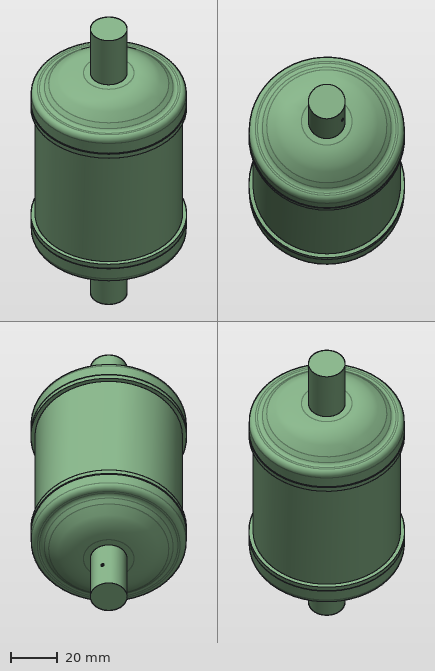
import cadquery as cq
import math

total_length = 149.0
pipe_radius = 15.8 / 2
body_radius = 63.5 / 2
cap_radius = 66.8 / 2
rim_radius = 67.0 / 2

rim_bottom = 30.0
rim_top = 32.2
step_height = 0.5
shoulder_height = 40.8
dome_height = 49.6

shoulder_fillet = 2.7
neck_fillet = 3.0
neck_outer_radius = 29.8
dome_flat_radius = 10.9
dome_arc_radius = 21.2
dome_slope = math.radians(45)

pin_hole_diameter = 1.3
pin_hole_depth = 0.3


def arc_point(center, radius, angle):
    """Point on an arc in the radius-height plane."""
    return (center[0] + radius * math.cos(angle), center[1] + radius * math.sin(angle))


def make_upper_end():
    """Upper end cap and its pipe, turned about Z."""
    quarter = math.pi / 2
    shoulder_center = (cap_radius - shoulder_fillet, shoulder_height - shoulder_fillet)
    neck_center = (neck_outer_radius, shoulder_height + neck_fillet)
    dome_center = (dome_flat_radius, dome_height - dome_arc_radius)

    profile = (
        cq.Workplane("XZ")
        .moveTo(0, rim_bottom)
        .lineTo(rim_radius, rim_bottom)
        .lineTo(rim_radius, rim_top)
        .lineTo(cap_radius, rim_top + step_height)
        .lineTo(cap_radius, shoulder_center[1])
        .threePointArc(
            arc_point(shoulder_center, shoulder_fillet, quarter / 2),
            arc_point(shoulder_center, shoulder_fillet, quarter),
        )
        .lineTo(neck_outer_radius, shoulder_height)
        .threePointArc(
            arc_point(neck_center, neck_fillet, -quarter - dome_slope / 2),
            arc_point(neck_center, neck_fillet, -quarter - dome_slope),
        )
        .lineTo(*arc_point(dome_center, dome_arc_radius, quarter - dome_slope))
        .threePointArc(
            arc_point(dome_center, dome_arc_radius, quarter - dome_slope / 2),
            (dome_flat_radius, dome_height),
        )
        .lineTo(pipe_radius, dome_height)
        .lineTo(pipe_radius, total_length / 2)
        .lineTo(0, total_length / 2)
        .close()
    )
    return profile.revolve(360, (0, 0, 0), (0, 1, 0))


def make_pin_hole(height):
    """Cutter for a shallow hole running in from the -X side of a pipe."""
    return (
        cq.Workplane("YZ", origin=(-pipe_radius, 0, height))
        .circle(pin_hole_diameter / 2)
        .extrude(pin_hole_depth, both=True)
    )


body = cq.Workplane("XY").circle(body_radius).extrude(rim_bottom, both=True).clean()
upper_end = make_upper_end()
result = body.union(upper_end).union(upper_end.mirror("XY"))

pin_hole_height = (dome_height + total_length / 2) / 2
for side in (1, -1):
    result = result.cut(make_pin_hole(side * pin_hole_height))